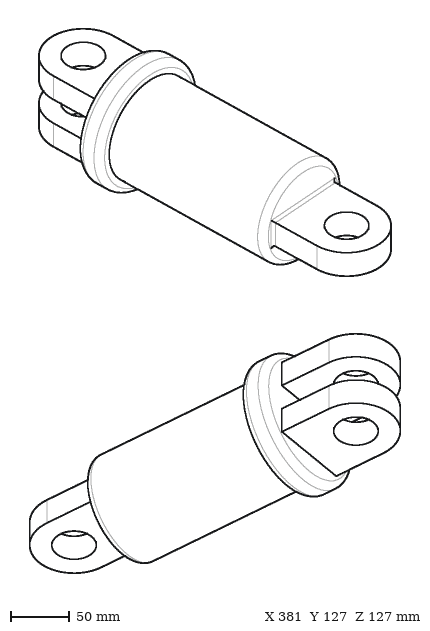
import cadquery as cq

length = 381.0
flange_diameter = 127.0
flange_thickness = 25.5
body_diameter = 101.7
lug_width = 76.2
lug_thickness = 25.5
lug_reach = 88.8
pin_diameter = 38.0
edge_radius = 6.5
root_radius = 2.55

lug_radius = lug_width / 2
lug_base_x = length / 2 - lug_reach
pin_x = length / 2 - lug_radius
flange_start = -lug_base_x
flange_end = flange_start + flange_thickness
body_end = lug_base_x
fork_offset = lug_thickness


def cylinder(start, end, diameter):
    """Solid cylinder along X between two stations."""
    return cq.Workplane("YZ", origin=(start, 0, 0)).circle(diameter / 2).extrude(end - start)


def lug(side, height):
    """Flat lug with a round end and a pin hole; side is -1 or 1, height is its mid Z."""
    bottom = cq.Workplane("XY", origin=(0, 0, height - lug_thickness / 2))
    outline = (
        bottom.moveTo(side * lug_base_x, -lug_radius)
        .lineTo(side * pin_x, -lug_radius)
        .threePointArc((side * length / 2, 0), (side * pin_x, lug_radius))
        .lineTo(side * lug_base_x, lug_radius)
        .close()
        .extrude(lug_thickness)
    )
    hole = bottom.center(side * pin_x, 0).circle(pin_diameter / 2).extrude(lug_thickness)
    return outline.cut(hole)


flange = cylinder(flange_start, flange_end, flange_diameter).edges().fillet(edge_radius)
body = cylinder(flange_start, body_end, body_diameter).edges(">X").fillet(edge_radius)
result = flange.union(body)

for height in (-fork_offset, fork_offset):
    result = result.union(lug(-1, height))
result = result.union(lug(1, 0))

selection_margin = 0.5
root_selector = cq.selectors.BoxSelector(
    (body_end - selection_margin, -lug_radius - selection_margin, -lug_thickness / 2 - selection_margin),
    (body_end + selection_margin, lug_radius + selection_margin, lug_thickness / 2 + selection_margin),
)
result = result.edges(root_selector).fillet(root_radius)